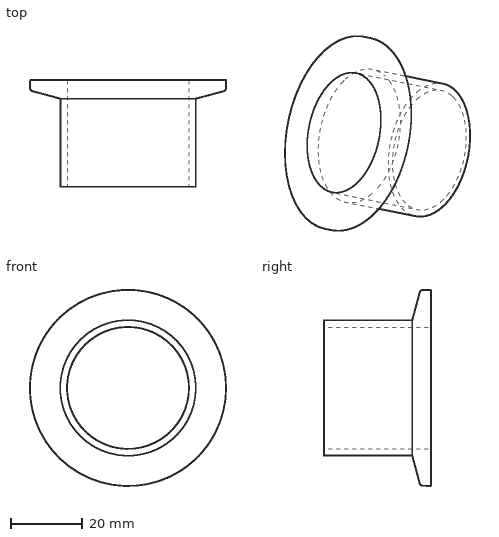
import cadquery as cq
import math

flange_radius = 27.5
tube_outer_radius = 38.0 / 2
bore_radius = 17.05
total_length = 30.0
cone_length = 5.3
cone_angle = math.radians(15)
rim_fillet = 1.0
face_edge_fillet = 0.2

rim_width = cone_length - (flange_radius - tube_outer_radius) * math.tan(cone_angle)

profile = (
    cq.Workplane("XY")
    .moveTo(bore_radius, 0)
    .lineTo(flange_radius, 0)
    .lineTo(flange_radius, -rim_width)
    .lineTo(tube_outer_radius, -cone_length)
    .lineTo(tube_outer_radius, -total_length)
    .lineTo(bore_radius, -total_length)
    .close()
)
body = profile.revolve(360, (0, 0, 0), (0, 1, 0))


def round_rim_edge(solid, edge_y, radius):
    """Round the circular edge of the flange rim at the given Y."""
    reach = 0.05
    low = (-flange_radius - reach, edge_y - reach, -flange_radius - reach)
    high = (flange_radius + reach, edge_y + reach, flange_radius + reach)
    edges = solid.edges(cq.selectors.BoxSelector(low, high))
    rim_edges = [e for e in edges.vals() if e.geomType() == "CIRCLE" and e.radius() > flange_radius - reach]
    return solid.newObject(rim_edges).fillet(radius)


body = round_rim_edge(body, -rim_width, rim_fillet)
result = round_rim_edge(body, 0, face_edge_fillet)